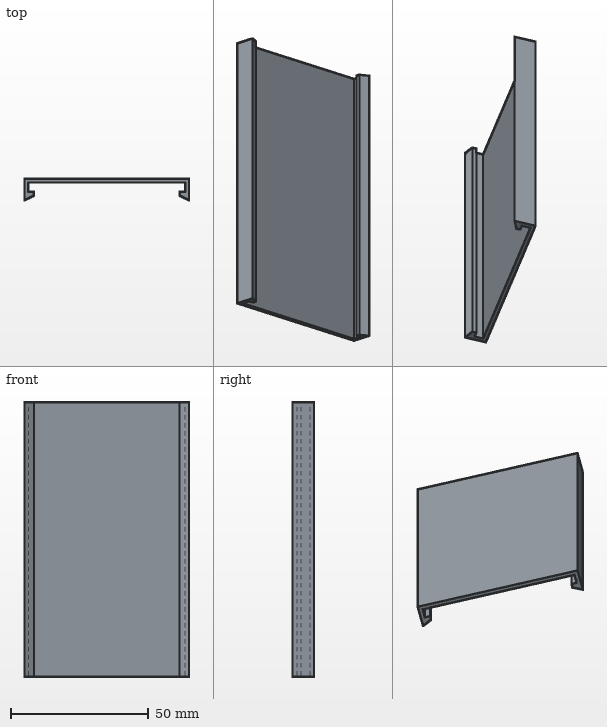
import cadquery as cq

width = 60.0
depth = 8.0
height = 100.0

wall = 1.5
lip_overhang = 2.0
lead_in_slope = 0.5

half_width = width / 2
back_y = depth / 2
front_y = -depth / 2

inner_x = half_width - wall
lip_tip_x = inner_x - lip_overhang
lip_front_y = front_y + lead_in_slope * (half_width - lip_tip_x)
lip_shoulder_y = lip_front_y + wall
plate_inner_y = back_y - wall


def half_section():
    """Points of the right half, from the middle of the back face to the middle of the inner face."""
    return [
        (0, back_y),
        (half_width, back_y),
        (half_width, front_y),
        (lip_tip_x, lip_front_y),
        (lip_tip_x, lip_shoulder_y),
        (inner_x, lip_shoulder_y),
        (inner_x, plate_inner_y),
        (0, plate_inner_y),
    ]


def make_cover():
    """Channel with inward snap lips: one half extruded along Z, then mirrored in the YZ plane."""
    half = (
        cq.Workplane("XY")
        .workplane(offset=-height / 2)
        .polyline(half_section())
        .close()
        .extrude(height)
    )
    return half.union(half.mirror("YZ")).clean()


result = make_cover()